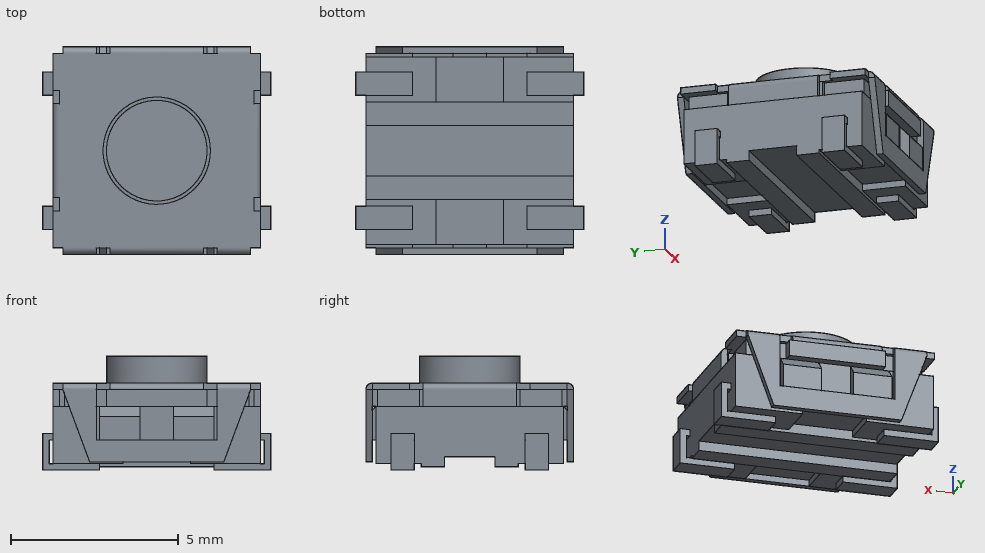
import cadquery as cq


overall_x = 6.8
body_size = 6.2
overall_height = 3.4
sheet = 0.2

cover_top = 2.6
cover_underside = cover_top - sheet
cover_half = body_size / 2
cover_inner_half = cover_half - sheet
tab_width = 2.8
opening_width = 3.6
flap_top_width = 5.6
flap_bottom_width = 4.0
flap_bottom = 0.25

button_diameter = 3.0
button_clearance = 0.1

base_bottom = sheet
base_width = 5.6
shoulder_height = 1.9
upper_block_size = 5.5
rib_width = 3.0
channel_top = 0.4
side_recess_width = 2.0
foot_bottom = 0.1
foot_inner_y = 0.75
foot_outer_y = 1.45
foot_width = foot_outer_y - foot_inner_y

nub_inner_x = 0.5
nub_outer_x = 1.7
nub_bottom = 0.9
nub_chamfer = (body_size - base_width) / 2

terminal_width = 0.7
terminal_y = 2.0
terminal_inner_x = 1.7
terminal_top = 1.1


def block(x_range, y_range, z_range):
    """Box between the given low and high limits."""
    size = [high - low for low, high in (x_range, y_range, z_range)]
    corner = (x_range[0], y_range[0], z_range[0])
    return cq.Workplane("XY").box(*size, centered=False).translate(corner)


def centred_block(size_x, size_y, z_low, z_high):
    """Box centred on the Z axis."""
    half_x = size_x / 2
    half_y = size_y / 2
    return block((-half_x, half_x), (-half_y, half_y), (z_low, z_high))


def with_y_mirror(shape):
    return shape.union(shape.mirror("XZ"))


def with_x_mirror(shape):
    return shape.union(shape.mirror("YZ"))


def make_nub():
    """Nub on the -Y face whose sloping top runs from the base face to the flap's outer face."""
    return (
        cq.Workplane("YZ", origin=(nub_inner_x, 0, 0))
        .moveTo(-base_width / 2, nub_bottom)
        .lineTo(-cover_half, nub_bottom)
        .lineTo(-cover_half, shoulder_height - nub_chamfer)
        .lineTo(-base_width / 2, shoulder_height)
        .close()
        .extrude(nub_outer_x - nub_inner_x)
    )


def make_terminal():
    """C-shaped strip: out of the +X face, down, and back under the base."""
    outer_x = overall_x / 2
    outer_wall_x = outer_x - sheet
    face_x = body_size / 2
    return (
        cq.Workplane("XZ", origin=(0, terminal_y + terminal_width / 2, 0))
        .moveTo(face_x, terminal_top)
        .lineTo(outer_x, terminal_top)
        .lineTo(outer_x, 0)
        .lineTo(terminal_inner_x, 0)
        .lineTo(terminal_inner_x, base_bottom)
        .lineTo(outer_wall_x, base_bottom)
        .lineTo(outer_wall_x, terminal_top - sheet)
        .lineTo(face_x, terminal_top - sheet)
        .close()
        .extrude(terminal_width)
    )


def make_base():
    base = centred_block(body_size, base_width, base_bottom, shoulder_height)

    base = base.union(centred_block(upper_block_size, upper_block_size, shoulder_height, cover_underside))
    base = base.union(centred_block(2 * cover_inner_half, rib_width, shoulder_height, cover_underside))
    base = base.union(centred_block(rib_width, 2 * cover_half, shoulder_height, cover_underside))

    base = base.cut(centred_block(body_size, 2 * foot_inner_y, base_bottom, channel_top))
    side_recess = block(
        (-side_recess_width / 2, side_recess_width / 2),
        (-base_width / 2, -foot_outer_y),
        (base_bottom, channel_top),
    )
    base = base.cut(with_y_mirror(side_recess))
    foot = centred_block(body_size, foot_width, foot_bottom, channel_top)
    base = base.union(with_y_mirror(foot.translate((0, foot_inner_y + foot_width / 2, 0))))

    base = base.union(with_x_mirror(with_y_mirror(make_nub())))
    return base.union(with_x_mirror(with_y_mirror(make_terminal())))


def make_bend(width):
    """Quarter-round bend along the -Y edge of the cover."""
    return (
        cq.Workplane("YZ", origin=(-width / 2, 0, 0))
        .moveTo(-cover_inner_half, cover_underside)
        .lineTo(-cover_inner_half, cover_top)
        .radiusArc((-cover_half, cover_underside), -sheet)
        .close()
        .extrude(width)
    )


def make_bent_strip(width, bottom):
    """Bend on the -Y side that continues straight down to the given height."""
    wall = block(
        (-width / 2, width / 2),
        (-cover_half, -cover_inner_half),
        (bottom, cover_underside),
    )
    return make_bend(width).union(wall)


def make_flap():
    """Tapered flap on the -Y side with an opening up to the cover plate."""
    taper = (
        cq.Workplane("XZ")
        .moveTo(-flap_bottom_width / 2, flap_bottom)
        .lineTo(flap_bottom_width / 2, flap_bottom)
        .lineTo(flap_top_width / 2, cover_underside)
        .lineTo(flap_top_width / 2, cover_top)
        .lineTo(-flap_top_width / 2, cover_top)
        .lineTo(-flap_top_width / 2, cover_underside)
        .close()
        .extrude(cover_half)
    )
    opening = block(
        (-opening_width / 2, opening_width / 2),
        (-cover_half, -cover_inner_half),
        (nub_bottom, cover_top),
    )
    return make_bent_strip(flap_top_width, flap_bottom).intersect(taper).cut(opening)


def make_cover():
    cover = centred_block(body_size, 2 * cover_inner_half, cover_underside, cover_top)

    edge_notch = block(
        (cover_inner_half, cover_half),
        (-opening_width / 2, opening_width / 2),
        (cover_underside, cover_top),
    )
    cover = cover.cut(with_x_mirror(edge_notch))
    x_tab = make_bent_strip(tab_width, shoulder_height).rotate((0, 0, 0), (0, 0, 1), 90)
    cover = cover.union(with_x_mirror(x_tab))

    y_tab = make_bend(tab_width)
    cover = cover.union(with_y_mirror(make_flap()))
    cover = cover.union(with_y_mirror(y_tab))

    button_hole = (
        cq.Workplane("XY", origin=(0, 0, cover_underside))
        .circle(button_diameter / 2 + button_clearance)
        .extrude(sheet)
    )
    return cover.cut(button_hole)


def make_button():
    """Plain cylinder standing on the upper block of the base."""
    return (
        cq.Workplane("XY", origin=(0, 0, cover_underside))
        .circle(button_diameter / 2)
        .extrude(overall_height - cover_underside)
    )


base = make_base()
cover = make_cover()
button = make_button()

result = cq.Compound.makeCompound([base.solids().val(), cover.solids().val(), button.val()])